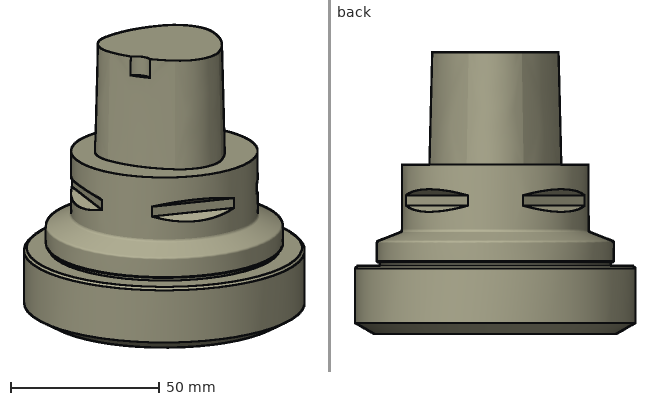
import cadquery as cq
import math

total_height = 95.0
flange_top = 23.1
ring_bottom = 24.2
ring_top = 31.3
neck_bottom = 34.6
neck_top = 57.1

flange_radius = 94.7 / 2
bottom_face_radius = 40.8
groove_radius = 78.0 / 2
ring_radius = 80.0 / 2
neck_radius = 63.0 / 2

bottom_chamfer_height = 3.8
flange_chamfer = 0.95
ring_chamfer = 0.4
ring_fillet = 0.95
neck_fillet = 0.95
selection_margin = 0.1

lobe_count = 3
lobe_radius = 14.6
lobe_offset = 8.8
flank_distance = 20.3
shank_taper = 1 / 20
taper_angle = math.degrees(math.atan(shank_taper / 2))
flank_angle = -90
lobe_angle = flank_angle + 180 / lobe_count

notch_radius = 5.3
notch_inner_distance = 17.9
notch_depth = 6.6

slot_count = 4
slot_first_angle = 45.0
slot_height = 45.0
slot_floor_distance = 27.8
slot_floor_height = 3.4
slot_flare_angle = 30.0
slot_clearance = 0.95
slot_outer_distance = neck_radius + slot_clearance


def polar(radius, degrees):
    angle = math.radians(degrees)
    return radius * math.cos(angle), radius * math.sin(angle)


def rotated(point, degrees):
    radius = math.hypot(*point)
    return polar(radius, math.degrees(math.atan2(point[1], point[0])) + degrees)


def edges_at(height):
    corner = (flange_radius, flange_radius, height + selection_margin)
    opposite = (-flange_radius, -flange_radius, height - selection_margin)
    return cq.selectors.BoxSelector(opposite, corner, boundingbox=True)


def turned_body():
    profile = (
        cq.Workplane("XZ")
        .moveTo(0, 0)
        .lineTo(bottom_face_radius, 0)
        .lineTo(flange_radius, bottom_chamfer_height)
        .lineTo(flange_radius, flange_top - flange_chamfer)
        .lineTo(flange_radius - flange_chamfer, flange_top)
        .lineTo(groove_radius, flange_top)
        .lineTo(groove_radius, ring_bottom)
        .lineTo(ring_radius - ring_chamfer, ring_bottom)
        .lineTo(ring_radius, ring_bottom + ring_chamfer)
        .lineTo(ring_radius, ring_top)
        .lineTo(neck_radius, neck_bottom)
        .lineTo(neck_radius, neck_top)
        .lineTo(0, neck_top)
        .close()
    )
    body = profile.revolve(360, (0, 0, 0), (0, 1, 0))
    body = body.edges(edges_at(ring_top)).fillet(ring_fillet)
    return body.edges(edges_at(neck_bottom)).fillet(neck_fillet)


def shank():
    lobe_x, lobe_y = polar(lobe_offset, lobe_angle)
    rise = flank_distance + lobe_y
    flank_radius = (lobe_x**2 + rise**2 - lobe_radius**2) / (2 * (rise - lobe_radius))
    center_y = flank_radius - flank_distance
    stretch = flank_radius / (flank_radius - lobe_radius)
    flank_end = (stretch * lobe_x, center_y + stretch * (lobe_y - center_y))
    flank_start = (-flank_end[0], flank_end[1])

    outline = cq.Workplane("XY").workplane(offset=neck_top).moveTo(*flank_start)
    pitch = 360 / lobe_count
    for i in range(lobe_count):
        turn = i * pitch
        outline = outline.threePointArc(
            polar(flank_distance, turn + flank_angle), rotated(flank_end, turn)
        ).threePointArc(
            polar(lobe_offset + lobe_radius, turn + lobe_angle), rotated(flank_start, turn + pitch)
        )
    return outline.close().extrude(total_height - neck_top, taper=taper_angle)


def notch():
    return (
        cq.Workplane("XY")
        .workplane(offset=total_height - notch_depth)
        .center(0, -notch_inner_distance - notch_radius)
        .circle(notch_radius)
        .extrude(notch_depth)
    )


def gripper_slot(angle):
    half_floor = slot_floor_height / 2
    flare = (slot_outer_distance - slot_floor_distance) * math.tan(math.radians(slot_flare_angle))
    return (
        cq.Workplane("XZ")
        .polyline([
            (slot_floor_distance, slot_height - half_floor),
            (slot_outer_distance, slot_height - half_floor - flare),
            (slot_outer_distance, slot_height + half_floor + flare),
            (slot_floor_distance, slot_height + half_floor),
        ])
        .close()
        .extrude(neck_radius, both=True)
        .rotate((0, 0, 0), (0, 0, 1), angle)
    )


result = turned_body().union(shank()).cut(notch())
for i in range(slot_count):
    result = result.cut(gripper_slot(slot_first_angle + i * 360 / slot_count))